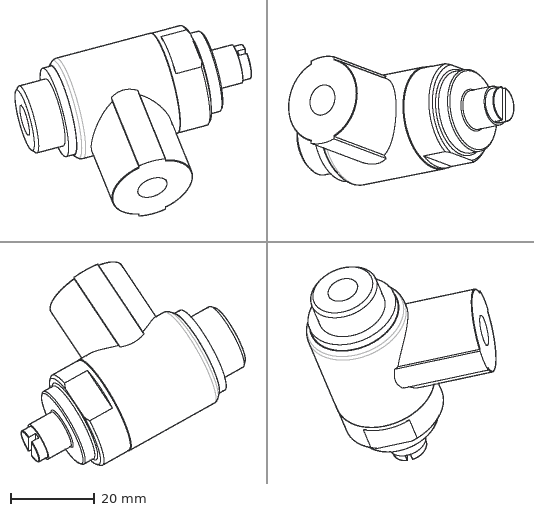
import cadquery as cq

total_length = 56.0
bore_diameter = 7.4

spigot_radius = 16.7 / 2
flange_radius = 22.0 / 2
barrel_radius = 25.0 / 2
collar_radius = 24.8 / 2
cap_radius = 20.0 / 2
stem_radius = 9.5 / 2
head_radius = 8.5 / 2

flange_start = 7.5
barrel_start = 9.5
collar_start = 35.3
cap_start = 43.35
stem_start = 46.9
head_start = 53.6

spigot_chamfer = 0.85
barrel_chamfer = 1.3
barrel_edge_radius = 1.25
barrel_top_chamfer = 0.15
collar_chamfer = 0.6
cap_chamfer = 0.4
cap_foot_flare = 0.5
stem_foot_flare = 0.35
head_chamfer = 0.15

flat_spacing = 21.95
flat_start = 36.35

slot_width = 1.35
slot_depth = 2.0

branch_y = 22.9
branch_end = 28.5
branch_radius = 20.4 / 2
branch_edge_chamfer = 0.15
strip_radius = 21.55 / 2
strip_width = 6.7


def turned_body():
    """Revolve the stepped half-profile about the Y axis."""
    profile = [
        (0, 0),
        (spigot_radius - spigot_chamfer, 0),
        (spigot_radius, spigot_chamfer),
        (spigot_radius, flange_start),
        (flange_radius, flange_start),
        (flange_radius, barrel_start),
        (barrel_radius - barrel_chamfer, barrel_start),
        (barrel_radius, barrel_start + barrel_chamfer),
        (barrel_radius, collar_start - barrel_top_chamfer),
        (barrel_radius - barrel_top_chamfer, collar_start),
        (collar_radius, collar_start),
        (collar_radius, cap_start - collar_chamfer),
        (collar_radius - collar_chamfer, cap_start),
        (cap_radius + cap_foot_flare, cap_start),
        (cap_radius, cap_start + cap_foot_flare),
        (cap_radius, stem_start - cap_chamfer),
        (cap_radius - cap_chamfer, stem_start),
        (stem_radius + stem_foot_flare, stem_start),
        (stem_radius, stem_start + stem_foot_flare),
        (stem_radius, head_start),
        (head_radius, head_start),
        (head_radius, total_length - head_chamfer),
        (head_radius - head_chamfer, total_length),
        (0, total_length),
    ]
    body = cq.Workplane("XY").polyline(profile).close().revolve(360, (0, 0), (0, 1))
    shoulder_y = barrel_start + barrel_chamfer
    reach = barrel_radius + 0.55
    tolerance = 0.05
    shoulder = cq.selectors.BoxSelector(
        (-reach, shoulder_y - tolerance, -reach),
        (reach, shoulder_y + tolerance, reach),
        boundingbox=True,
    )
    return body.edges(shoulder).fillet(barrel_edge_radius)


def branch():
    """Round side branch with a raised curved strip on its +Z and -Z sides."""
    axis_plane = cq.Workplane("YZ").center(branch_y, 0)
    tube = axis_plane.circle(branch_radius).extrude(branch_end)
    tube = tube.faces(">X").edges().chamfer(branch_edge_chamfer)
    strip_band = axis_plane.rect(strip_width, 2 * strip_radius).extrude(branch_end)
    strips = axis_plane.circle(strip_radius).extrude(branch_end).intersect(strip_band)
    return tube.union(strips)


def wrench_flat_cutter(side):
    """Block removing the collar beyond one flat; side is +1 or -1 along Z."""
    thickness = barrel_radius
    return (
        cq.Workplane("XY")
        .box(2 * barrel_radius, cap_start - flat_start, thickness)
        .translate((0, (cap_start + flat_start) / 2, side * (flat_spacing + thickness) / 2))
    )


def screwdriver_slot():
    """Slot across the head, running along Z."""
    return (
        cq.Workplane("XY")
        .box(slot_width, slot_depth, 2 * stem_radius)
        .translate((0, total_length - slot_depth / 2, 0))
    )


def elbow_passage():
    """Bore from the spigot to the branch mouth with a spherical corner."""
    radius = bore_diameter / 2
    diagonal = radius * 0.5**0.5
    inlet = (
        cq.Workplane("XY")
        .lineTo(radius, 0)
        .lineTo(radius, branch_y)
        .threePointArc((diagonal, branch_y + diagonal), (0, branch_y + radius))
        .close()
        .revolve(360, (0, 0), (0, 1))
    )
    outlet = cq.Workplane("YZ").center(branch_y, 0).circle(radius).extrude(branch_end)
    return inlet.union(outlet)


result = turned_body().union(branch())
for side in (1, -1):
    result = result.cut(wrench_flat_cutter(side))
result = result.cut(screwdriver_slot()).cut(elbow_passage())